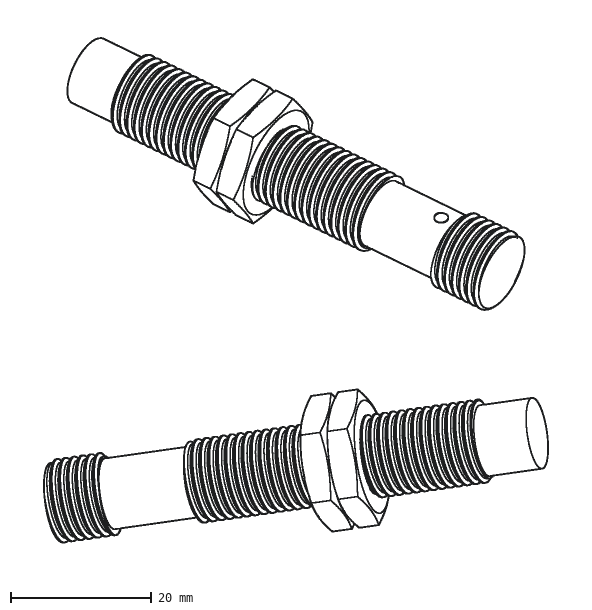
import cadquery as cq
import math

total_length = 72.0
barrel_radius = 5.1

crest_radius = 6.0
root_radius = 5.4
crest_width = 0.2
flank_angle = 30.0
ridge_root_overlap = 0.15
spare_turns = 2
main_thread_start = 7.85
main_thread_end = 51.05
main_thread_turns = 34
main_thread_lead_in = 0
thread_pitch = (main_thread_end - main_thread_start) / main_thread_turns
plug_thread_start = 64.0
plug_thread_lead_in = 0.5

indicator_x = 61.6
indicator_diameter = 2.0
indicator_depth = 0.15

nut_start = 24.8
nut_thickness = 4.0
nut_count = 2
nut_across_flats = 17.0
nut_corner_radius = nut_across_flats / math.sqrt(3)
nut_face_radius = 8.1
nut_chamfer_angle = 18.0
nut_chamfer_depth = (nut_corner_radius - nut_face_radius) * math.tan(math.radians(nut_chamfer_angle))


def cylinder_x(radius, start, end):
    """Cylinder on the X axis between two X positions."""
    return cq.Workplane("YZ", origin=(start, 0, 0)).circle(radius).extrude(end - start)


def thread_ridge(first_crest, turns):
    """Right-handed ridge whose crest meets the +Y side at x = first_crest."""
    base_radius = root_radius - ridge_root_overlap
    half_crest = crest_width / 2
    half_base = half_crest + (crest_radius - base_radius) * math.tan(math.radians(flank_angle))
    path = cq.Wire.makeHelix(thread_pitch, turns * thread_pitch, base_radius)
    ridge = (
        cq.Workplane("XZ")
        .moveTo(base_radius, -half_base)
        .lineTo(crest_radius, -half_crest)
        .lineTo(crest_radius, half_crest)
        .lineTo(base_radius, half_base)
        .close()
        .sweep(cq.Workplane(path), isFrenet=True)
    )
    return ridge.rotate((0, 0, 0), (1, 1, 1), 120).translate((first_crest, 0, 0))


def threaded_rod(start, end, lead_in):
    """Threaded length with both ends cut square; lead_in places the first crest on +Y."""
    first_crest = start + lead_in - spare_turns * thread_pitch
    turns = math.ceil((end - start) / thread_pitch) + 2 * spare_turns
    ridge = thread_ridge(first_crest, turns).intersect(cylinder_x(2 * crest_radius, start, end))
    return cylinder_x(root_radius, start, end).union(ridge)


def make_housing(main_thread):
    plug_thread = threaded_rod(plug_thread_start, total_length, plug_thread_lead_in)
    indicator_recess = (
        cq.Workplane("XY", origin=(indicator_x, 0, barrel_radius - indicator_depth))
        .circle(indicator_diameter / 2)
        .extrude(2 * indicator_depth)
    )
    front_barrel = cylinder_x(barrel_radius, 0, main_thread_start)
    rear_barrel = cylinder_x(barrel_radius, main_thread_end, plug_thread_start).cut(indicator_recess)
    return front_barrel.union(main_thread).union(rear_barrel).union(plug_thread)


def nut_blank(start):
    """Hexagon with flats facing +Z and -Z, its corners chamfered at both ends."""
    hexagon = (
        cq.Workplane("YZ", origin=(start, 0, 0))
        .polygon(6, 2 * nut_corner_radius)
        .extrude(nut_thickness)
    )
    end = start + nut_thickness
    chamfer_envelope = (
        cq.Workplane("XY")
        .moveTo(start, 0)
        .lineTo(start, nut_face_radius)
        .lineTo(start + nut_chamfer_depth, nut_corner_radius)
        .lineTo(end - nut_chamfer_depth, nut_corner_radius)
        .lineTo(end, nut_face_radius)
        .lineTo(end, 0)
        .close()
        .revolve(360, (0, 0, 0), (1, 0, 0))
    )
    return hexagon.intersect(chamfer_envelope)


def make_lock_nuts(main_thread):
    """Two nuts tightened face to face, with a bore that matches the main thread."""
    nuts = nut_blank(nut_start)
    for index in range(1, nut_count):
        nuts = nuts.union(nut_blank(nut_start + index * nut_thickness))
    return nuts.cut(main_thread)


main_thread = threaded_rod(main_thread_start, main_thread_end, main_thread_lead_in)
housing = make_housing(main_thread)
lock_nuts = make_lock_nuts(main_thread)

result = cq.Compound.makeCompound([*housing.solids().vals(), *lock_nuts.solids().vals()])